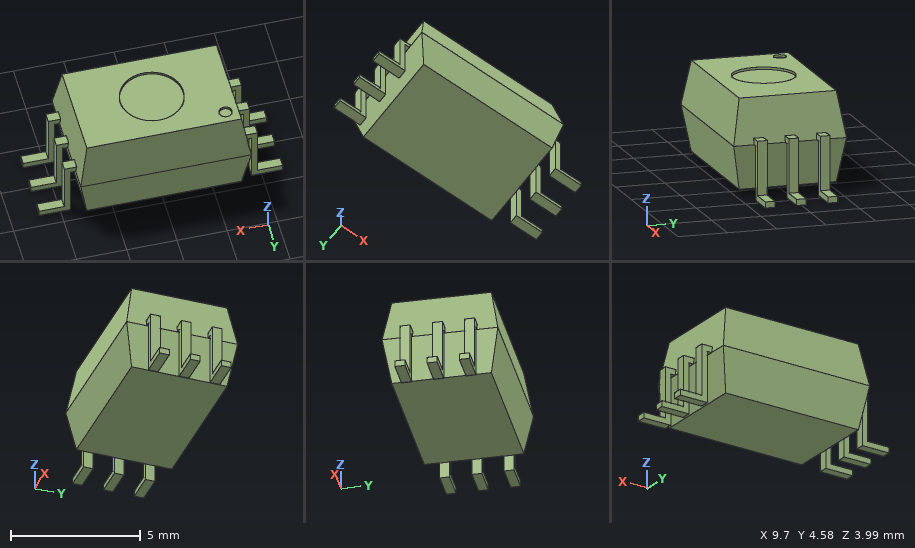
import cadquery as cq

body_length = 6.8
body_width = 4.58
half_height = 1.82
taper_inset = 0.32
standoff = 0.35
parting_z = standoff + half_height
top_z = parting_z + half_height

recess_depth = 0.1
center_recess_radius = 1.25
pin_mark_radius = 0.25
pin_mark_x = -2.57
pin_mark_y = 1.46

overall_length = 9.7
lead_thickness = 0.25
lead_width = 0.4
lead_pitch = 1.27
leads_per_side = 3
post_outer_x = 3.85


def make_body_half(direction):
    """Frustum tapering away from the parting plane, up (+1) or down (-1)."""
    return (
        cq.Workplane("XY", origin=(0, 0, parting_z))
        .rect(body_length, body_width)
        .workplane(offset=direction * half_height)
        .rect(body_length - 2 * taper_inset, body_width - 2 * taper_inset)
        .loft(ruled=True)
    )


def make_recess(x, y, radius):
    """Cylinder to remove from the top face."""
    return cq.Workplane("XY", origin=(x, y, top_z)).circle(radius).extrude(-recess_depth)


def make_housing():
    housing = make_body_half(1).union(make_body_half(-1))
    housing = housing.cut(make_recess(0, 0, center_recess_radius))
    return housing.cut(make_recess(pin_mark_x, pin_mark_y, pin_mark_radius))


def make_lead(side, y):
    """Z-bent lead on the +X (1) or -X (-1) side, its inner end flush with the tapered wall."""
    wall_x = body_length / 2
    shoulder_z = parting_z + lead_thickness
    wall_x_at_shoulder = wall_x - taper_inset * lead_thickness / half_height
    post_inner_x = post_outer_x - lead_thickness
    toe_x = overall_length / 2
    profile = [
        (wall_x, parting_z),
        (post_inner_x, parting_z),
        (post_inner_x, 0),
        (toe_x, 0),
        (toe_x, lead_thickness),
        (post_outer_x, lead_thickness),
        (post_outer_x, shoulder_z),
        (wall_x_at_shoulder, shoulder_z),
    ]
    return (
        cq.Workplane("XZ", origin=(0, y, 0))
        .polyline([(side * x, z) for x, z in profile])
        .close()
        .extrude(lead_width / 2, both=True)
    )


housing = make_housing()

leads = []
for side in (-1, 1):
    for index in range(leads_per_side):
        lead_y = (index - (leads_per_side - 1) / 2) * lead_pitch
        leads.append(make_lead(side, lead_y).val())

result = cq.Compound.makeCompound([housing.val(), *leads])